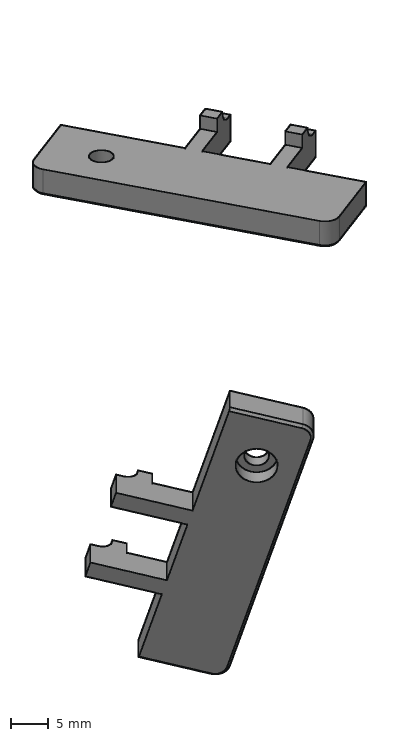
import cadquery as cq

plate_length = 43
plate_width = 12.0
plate_height = 4.0
corner_radius = 2.0
bottom_chamfer = 0.4

hole_diameter = 3.25
counterbore_diameter = 5.5
counterbore_depth = 2.2
hole_x = 8.0
hole_y = plate_width / 2

total_width = 22.5
total_height = 6
arm_thickness = 2.4
arm_pitch = 12.0
first_arm_x = 17.5
tip_flat = 1.0
hook_radius = total_height - plate_height
hook_base_length = 5.0


def make_hole():
    """Cutter for a through hole with a counterbore opening on the underside."""
    through = cq.Workplane("XY").circle(hole_diameter / 2).extrude(plate_height)
    counterbore = cq.Workplane("XY").circle(counterbore_diameter / 2).extrude(counterbore_depth)
    return through.union(counterbore).translate((hole_x, hole_y, 0))


def make_plate():
    """Plate with rounded front corners, chamfered underneath on the front and sides."""
    plate = cq.Workplane("XY").box(plate_length, plate_width, plate_height, centered=False)
    plate = plate.edges("|Z and <Y").fillet(corner_radius)
    plate = plate.faces("<Z").edges("not >Y").chamfer(bottom_chamfer)
    return plate.cut(make_hole())


def make_arm(left_x):
    """Arm with an upright hook whose outer side is a concave quarter circle."""
    arc_end_y = total_width - tip_flat
    arc_start_y = arc_end_y - hook_radius
    hook_inner_y = total_width - hook_base_length
    half_chord = hook_radius * 0.5**0.5
    return (
        cq.Workplane("YZ", origin=(left_x, 0, 0))
        .moveTo(plate_width, 0)
        .lineTo(total_width, 0)
        .lineTo(total_width, plate_height)
        .lineTo(arc_end_y, plate_height)
        .threePointArc(
            (arc_end_y - half_chord, total_height - half_chord),
            (arc_start_y, total_height),
        )
        .lineTo(hook_inner_y, total_height)
        .lineTo(hook_inner_y, plate_height)
        .lineTo(plate_width, plate_height)
        .close()
        .extrude(arm_thickness)
    )


result = make_plate()
for arm_x in (first_arm_x, first_arm_x + arm_pitch):
    result = result.union(make_arm(arm_x))